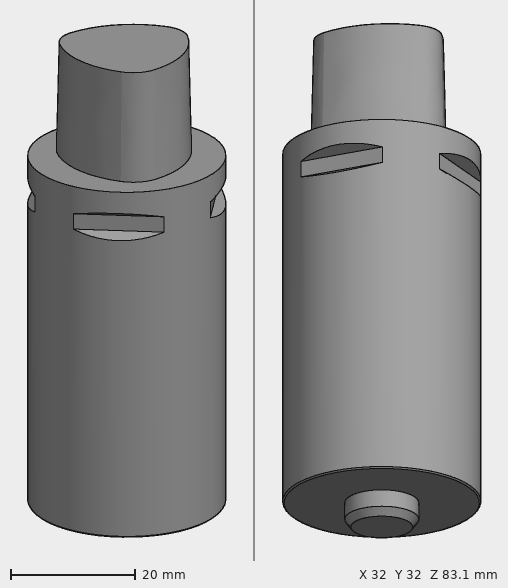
import cadquery as cq
import math

total_length = 83.05
shank_length = 18.85
pin_length = 4.15
body_length = total_length - shank_length - pin_length
body_diameter = 32.0
body_edge_chamfer = 0.25

groove_count = 4
groove_first_angle = 45.0
groove_below_shoulder = 6.1
groove_floor_height = 2.65
groove_floor_distance = 14.2
groove_side_angle = 30.0
cutter_overrun = 0.8

shank_base_width = 21.85
shank_tip_width = 20.9
lobe_centre_distance = 6.1
lobe_count = 3
first_lobe_angle = 90.0

pin_diameter = 12.0
pin_chamfer_height = 1.3
pin_chamfer_width = 1.0

body_bottom = pin_length
shoulder_level = body_bottom + body_length


def polar_point(radius, angle, origin=(0, 0)):
    """Point at a radius and an angle in degrees from an origin."""
    turn = math.radians(angle)
    return (origin[0] + radius * math.cos(turn), origin[1] + radius * math.sin(turn))


def trilobe_outline(plane, width):
    """Closed outline of three lobe arcs joined by tangent flank arcs.

    Each flank is centred on the opposite lobe centre, so width = flank radius + lobe radius.
    """
    lobe_centre_spacing = math.sqrt(3) * lobe_centre_distance
    lobe_radius = (width - lobe_centre_spacing) / 2
    flank_radius = lobe_radius + lobe_centre_spacing
    pitch = 360 / lobe_count
    half_arc = pitch / 4
    start_centre = polar_point(lobe_centre_distance, first_lobe_angle)
    outline = plane.moveTo(*polar_point(lobe_radius, first_lobe_angle - half_arc, start_centre))
    for index in range(lobe_count):
        lobe_angle = first_lobe_angle + index * pitch
        flank_angle = lobe_angle + pitch / 2
        lobe_centre = polar_point(lobe_centre_distance, lobe_angle)
        flank_centre = polar_point(lobe_centre_distance, flank_angle + 180)
        outline = outline.threePointArc(
            polar_point(lobe_radius, lobe_angle, lobe_centre),
            polar_point(lobe_radius, lobe_angle + half_arc, lobe_centre),
        )
        outline = outline.threePointArc(
            polar_point(flank_radius, flank_angle, flank_centre),
            polar_point(flank_radius, flank_angle + half_arc, flank_centre),
        )
    return outline.close()


def make_shank():
    """Three-lobed shank that narrows evenly towards its upper end."""
    base = trilobe_outline(cq.Workplane("XY").workplane(offset=shoulder_level), shank_base_width)
    tip_plane = base.workplane(offset=shank_length)
    return trilobe_outline(tip_plane, shank_tip_width).loft(ruled=True, combine=True)


def make_groove_cutter():
    """Trapezoidal bar along Y that cuts a groove on the +X side of the body."""
    outer_distance = body_diameter / 2 + cutter_overrun
    depth = outer_distance - groove_floor_distance
    floor_half = groove_floor_height / 2
    mouth_half = floor_half + depth * math.tan(math.radians(groove_side_angle))
    level = shoulder_level - groove_below_shoulder
    return (
        cq.Workplane("XZ")
        .polyline([
            (groove_floor_distance, level - floor_half),
            (outer_distance, level - mouth_half),
            (outer_distance, level + mouth_half),
            (groove_floor_distance, level + floor_half),
        ])
        .close()
        .extrude(body_diameter / 2, both=True)
    )


def make_body():
    """Cylindrical body with a chamfered lower edge and gripper grooves."""
    body = (
        cq.Workplane("XY")
        .workplane(offset=body_bottom)
        .circle(body_diameter / 2)
        .extrude(body_length)
        .faces("<Z")
        .chamfer(body_edge_chamfer)
    )
    cutter = make_groove_cutter()
    for index in range(groove_count):
        angle = groove_first_angle + index * 360 / groove_count
        body = body.cut(cutter.rotate((0, 0, 0), (0, 0, 1), angle))
    return body


def make_pin():
    """Round pin below the body with a chamfered free end."""
    radius = pin_diameter / 2
    return (
        cq.Workplane("XZ")
        .polyline([
            (0, 0),
            (radius - pin_chamfer_width, 0),
            (radius, pin_chamfer_height),
            (radius, pin_length),
            (0, pin_length),
        ])
        .close()
        .revolve(360, (0, 0, 0), (0, 1, 0))
    )


shank = make_shank()
body = make_body()
pin = make_pin()

result = cq.Compound.makeCompound([shank.val(), body.val(), pin.val()])